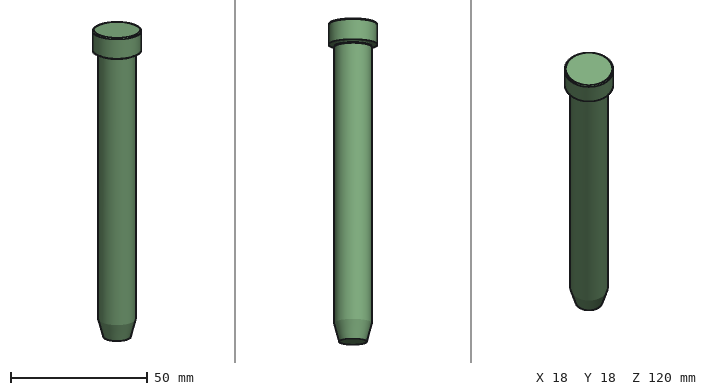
import cadquery as cq
import math

total_length = 120.0
shank_radius = 7.0

head_radius = 9.0
head_height = 8.0
head_chamfer = 0.5

groove_depth = 0.3
groove_width = 1.0
groove_ramp = 0.5
groove_fillet = 0.3

tip_length = 7.0
taper_angle = 15.0

head_underside = total_length - head_height
groove_bottom = head_underside - groove_width
groove_radius = shank_radius - groove_depth
tip_radius = shank_radius - tip_length * math.tan(math.radians(taper_angle))


def make_pin():
    """Revolve the half outline about the Z axis, from the tip up to the head."""
    outline = (
        cq.Workplane("XZ")
        .lineTo(tip_radius, 0)
        .lineTo(shank_radius, tip_length)
        .lineTo(shank_radius, groove_bottom)
        .lineTo(groove_radius, groove_bottom + groove_ramp)
        .lineTo(groove_radius, head_underside - groove_fillet)
        .tangentArcPoint((groove_radius + groove_fillet, head_underside), relative=False)
        .lineTo(head_radius, head_underside)
        .lineTo(head_radius, total_length - head_chamfer)
        .lineTo(head_radius - head_chamfer, total_length)
        .lineTo(0, total_length)
        .close()
    )
    return outline.revolve(360, (0, 0, 0), (0, 1, 0))


result = make_pin()